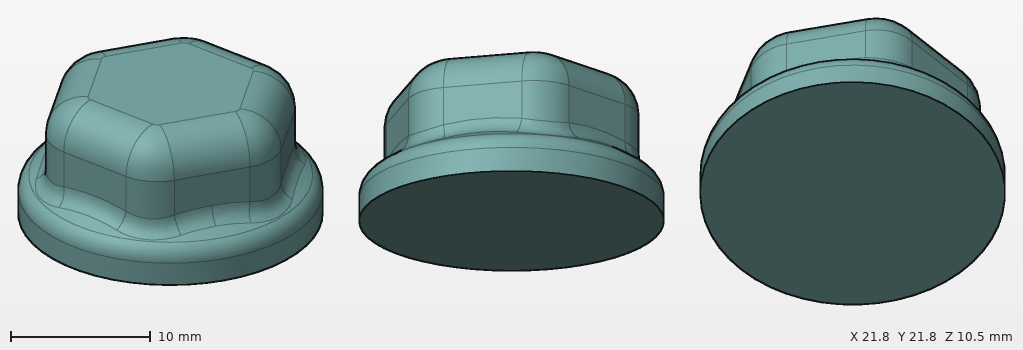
import cadquery as cq
import math

total_height = 10.5
flange_diameter = 21.8

rim_straight_height = 1.8
rim_fillet = 1.5
cone_slope = math.radians(30)

side_count = 6
across_flats = 17.0
corner_fillet = 3.5
top_fillet = 3.0
root_fillet = 1.5

tolerance = 0.01

flange_radius = flange_diameter / 2
across_corners = across_flats / math.cos(math.pi / side_count)
rim_turn = math.pi / 2 - cone_slope
cone_foot_radius = flange_radius - rim_fillet * (1 - math.cos(rim_turn))
cone_foot_height = rim_straight_height + rim_fillet * math.sin(rim_turn)


def cone_height(radius):
    """Height of the conical surface at a distance from the axis."""
    return cone_foot_height + (cone_foot_radius - radius) * math.tan(cone_slope)


def make_flange():
    """Disc with a conical upper side and a rounded rim."""
    profile = (
        cq.Workplane("XZ")
        .lineTo(flange_radius, 0)
        .lineTo(flange_radius, rim_straight_height)
        .tangentArcPoint((cone_foot_radius, cone_foot_height), relative=False)
        .lineTo(0, cone_height(0))
        .close()
    )
    return profile.revolve(360, (0, 0), (0, 1))


def make_cap():
    """Hexagonal prism with two flats square to X, rounded at its corners and top."""
    prism = (
        cq.Workplane("XY")
        .transformed(rotate=(0, 0, 90))
        .polygon(side_count, across_corners)
        .extrude(total_height)
    )
    rounded_prism = prism.edges("|Z").fillet(corner_fillet)
    return rounded_prism.faces(">Z").edges().fillet(top_fillet)


def is_root_edge(edge):
    """True for an edge where the sides of the cap meet the cone."""
    middle = edge.positionAt(0.5)
    radius = math.hypot(middle.x, middle.y)
    above_foot = middle.z > cone_foot_height + tolerance
    on_cone = abs(middle.z - cone_height(radius)) < tolerance
    is_cone_seam = edge.geomType() == "LINE"
    return above_foot and on_cone and not is_cone_seam


def fillet_root(body):
    """Round the inside corner between the cap and the flange."""
    root_edges = [edge for edge in body.edges().vals() if is_root_edge(edge)]
    return body.newObject(root_edges).fillet(root_fillet)


result = fillet_root(make_flange().union(make_cap()))